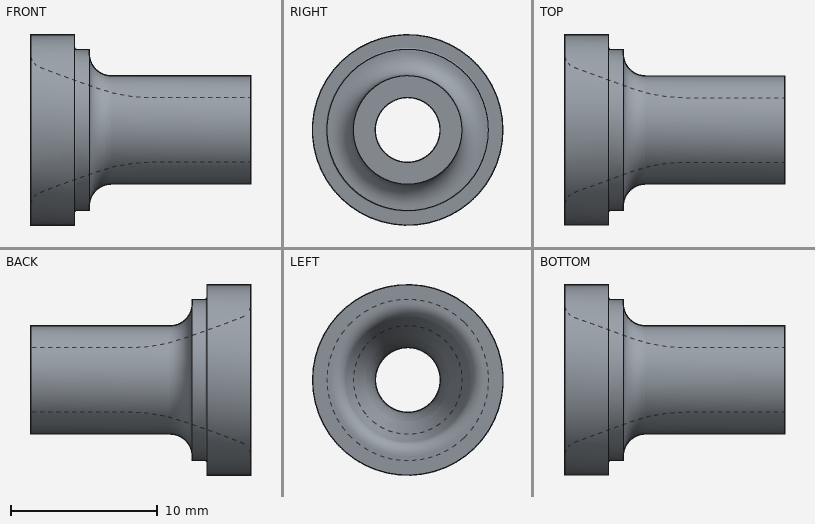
import cadquery as cq
import math

TOTAL_LENGTH = 15.0
FLANGE_RADIUS = 13.0 / 2
FLANGE_LENGTH = 3.0
COLLAR_RADIUS = 11.0 / 2
COLLAR_LENGTH = 1.0
TUBE_RADIUS = 7.4 / 2
TUBE_FILLET = 1.5
COLLAR_FILLET = 0.1

BORE_RADIUS = 4.4 / 2
FUNNEL_MOUTH_RADIUS = 9.0 / 2
FUNNEL_HALF_ANGLE = math.radians(20.0)
MOUTH_ROUND = 1.0
THROAT_ROUND = 10.5

COLLAR_END = FLANGE_LENGTH + COLLAR_LENGTH


def arc_point(center, radius, angle):
    """Point on a circle in the (X, radial) half plane, angle in radians."""
    return (
        center[0] + radius * math.cos(angle),
        center[1] + radius * math.sin(angle),
    )


def revolve_about_x(profile):
    return profile.close().revolve(360, (0, 0, 0), (1, 0, 0))


def make_body():
    collar_fillet_center = (FLANGE_LENGTH + COLLAR_FILLET, COLLAR_RADIUS + COLLAR_FILLET)
    tube_fillet_center = (COLLAR_END + TUBE_FILLET, TUBE_RADIUS + TUBE_FILLET)
    toward_corner = math.radians(225)
    profile = (
        cq.Workplane("XY")
        .moveTo(0, 0)
        .lineTo(0, FLANGE_RADIUS)
        .lineTo(FLANGE_LENGTH, FLANGE_RADIUS)
        .lineTo(FLANGE_LENGTH, collar_fillet_center[1])
        .threePointArc(
            arc_point(collar_fillet_center, COLLAR_FILLET, toward_corner),
            (collar_fillet_center[0], COLLAR_RADIUS),
        )
        .lineTo(COLLAR_END, COLLAR_RADIUS)
        .lineTo(COLLAR_END, tube_fillet_center[1])
        .threePointArc(
            arc_point(tube_fillet_center, TUBE_FILLET, toward_corner),
            (tube_fillet_center[0], TUBE_RADIUS),
        )
        .lineTo(TOTAL_LENGTH, TUBE_RADIUS)
        .lineTo(TOTAL_LENGTH, 0)
    )
    return revolve_about_x(profile)


def make_bore():
    mouth_setback = MOUTH_ROUND * math.tan(math.pi / 4 - FUNNEL_HALF_ANGLE / 2)
    mouth_center = (MOUTH_ROUND, FUNNEL_MOUTH_RADIUS + mouth_setback)

    cone_length = (FUNNEL_MOUTH_RADIUS - BORE_RADIUS) / math.tan(FUNNEL_HALF_ANGLE)
    throat_setback = THROAT_ROUND * math.tan(FUNNEL_HALF_ANGLE / 2)
    throat_center = (cone_length + throat_setback, BORE_RADIUS + THROAT_ROUND)

    cone_normal = -math.pi / 2 - FUNNEL_HALF_ANGLE
    mouth_middle = (cone_normal - math.pi) / 2
    throat_middle = (cone_normal - math.pi / 2) / 2

    profile = (
        cq.Workplane("XY")
        .moveTo(0, 0)
        .lineTo(0, mouth_center[1])
        .threePointArc(
            arc_point(mouth_center, MOUTH_ROUND, mouth_middle),
            arc_point(mouth_center, MOUTH_ROUND, cone_normal),
        )
        .lineTo(*arc_point(throat_center, THROAT_ROUND, cone_normal))
        .threePointArc(
            arc_point(throat_center, THROAT_ROUND, throat_middle),
            (throat_center[0], BORE_RADIUS),
        )
        .lineTo(TOTAL_LENGTH, BORE_RADIUS)
        .lineTo(TOTAL_LENGTH, 0)
    )
    return revolve_about_x(profile)


result = make_body().cut(make_bore())